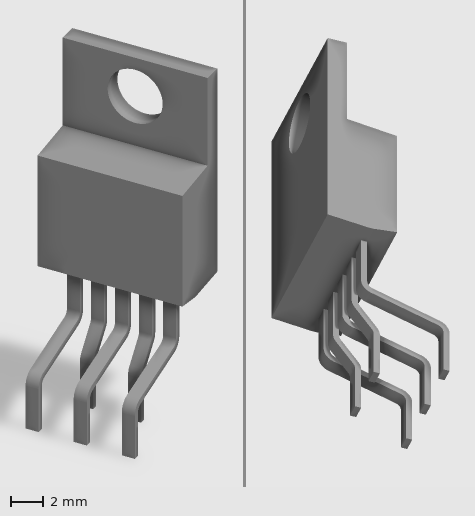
import cadquery as cq
import math

OVERALL_HEIGHT = 24.07
PACKAGE_WIDTH = 10.15
OVERALL_DEPTH = 8.47

TAB_THICKNESS = 1.28
TAB_HOLE_DIAMETER = 3.85
TAB_HOLE_HEIGHT = 21.28

HOUSING_DEPTH = 4.57
HOUSING_TOP = 17.72
HOUSING_FRONT_TOP = 17.3
HOUSING_BACK_BOTTOM = 9.36
HOUSING_FRONT_BOTTOM = 9.3
HOUSING_BOTTOM = 9.1

LEAD_COUNT = 5
LEAD_PITCH = 1.68
LEAD_WIDTH = 0.91
LEAD_THICKNESS = 0.4
LEAD_BACK = 2.65
LEAD_INNER_RADIUS = 0.5
LEAD_OUTER_RADIUS = LEAD_INNER_RADIUS + LEAD_THICKNESS
LONG_LEAD_REACH = OVERALL_DEPTH - LEAD_THICKNESS - LEAD_BACK
LONG_LEAD_UPPER_BEND = 5.27
LONG_LEAD_LOWER_BEND = 3.63
SHORT_LEAD_REACH = 1.45
SHORT_LEAD_UPPER_BEND = 5.32
SHORT_LEAD_LOWER_BEND = 3.45


def make_tab():
    """Flat plate standing on the back of the housing, with a mounting hole."""
    tab_height = OVERALL_HEIGHT - HOUSING_TOP
    plate = cq.Workplane("XY").box(
        PACKAGE_WIDTH, TAB_THICKNESS, tab_height, centered=(True, False, False)
    )
    plate = plate.translate((0, -TAB_THICKNESS, HOUSING_TOP))
    hole = (
        cq.Workplane("XZ")
        .center(0, TAB_HOLE_HEIGHT)
        .circle(TAB_HOLE_DIAMETER / 2)
        .extrude(TAB_THICKNESS)
    )
    return plate.cut(hole)


def make_housing():
    """Moulded block whose sloping underside meets the flat lead tops."""
    return (
        cq.Workplane("YZ")
        .polyline([
            (0, HOUSING_BACK_BOTTOM),
            (0, HOUSING_TOP),
            (-TAB_THICKNESS, HOUSING_TOP),
            (-HOUSING_DEPTH, HOUSING_FRONT_TOP),
            (-HOUSING_DEPTH, HOUSING_FRONT_BOTTOM),
            (-LEAD_BACK - LEAD_THICKNESS, HOUSING_BOTTOM),
            (-LEAD_BACK, HOUSING_BOTTOM),
        ])
        .close()
        .extrude(PACKAGE_WIDTH / 2, both=True)
    )


def make_lead(x, reach, upper_bend, lower_bend):
    """Flat strip stepped forward by reach; bend heights are where its centrelines cross."""
    back = -LEAD_BACK
    front = back - LEAD_THICKNESS
    bend_angle = math.atan2(reach, upper_bend - lower_bend)
    face_shift = LEAD_THICKNESS / 2 * math.tan(bend_angle / 2)
    strip = (
        cq.Workplane("YZ", origin=(x, 0, 0))
        .polyline([
            (back, HOUSING_BOTTOM),
            (back, upper_bend - face_shift),
            (back - reach, lower_bend - face_shift),
            (back - reach, 0),
            (front - reach, 0),
            (front - reach, lower_bend + face_shift),
            (front, upper_bend + face_shift),
            (front, HOUSING_BOTTOM),
        ])
        .close()
        .extrude(LEAD_WIDTH / 2, both=True)
    )

    def bend_edge(y, z):
        return cq.selectors.NearestToPointSelector((x, y, z))

    inner_bends = bend_edge(front, upper_bend + face_shift) + bend_edge(back - reach, lower_bend - face_shift)
    outer_bends = bend_edge(back, upper_bend - face_shift) + bend_edge(front - reach, lower_bend + face_shift)
    strip = strip.edges(inner_bends).fillet(LEAD_INNER_RADIUS)
    return strip.edges(outer_bends).fillet(LEAD_OUTER_RADIUS)


def make_leads():
    """Row of leads, alternating long and short reach, starting with a long one."""
    leads = []
    for index in range(LEAD_COUNT):
        x = (index - (LEAD_COUNT - 1) / 2) * LEAD_PITCH
        if index % 2 == 0:
            lead = make_lead(x, LONG_LEAD_REACH, LONG_LEAD_UPPER_BEND, LONG_LEAD_LOWER_BEND)
        else:
            lead = make_lead(x, SHORT_LEAD_REACH, SHORT_LEAD_UPPER_BEND, SHORT_LEAD_LOWER_BEND)
        leads.append(lead.val())
    return leads


tab = make_tab()
housing = make_housing()
leads = make_leads()

result = cq.Compound.makeCompound([tab.val(), housing.val(), *leads])